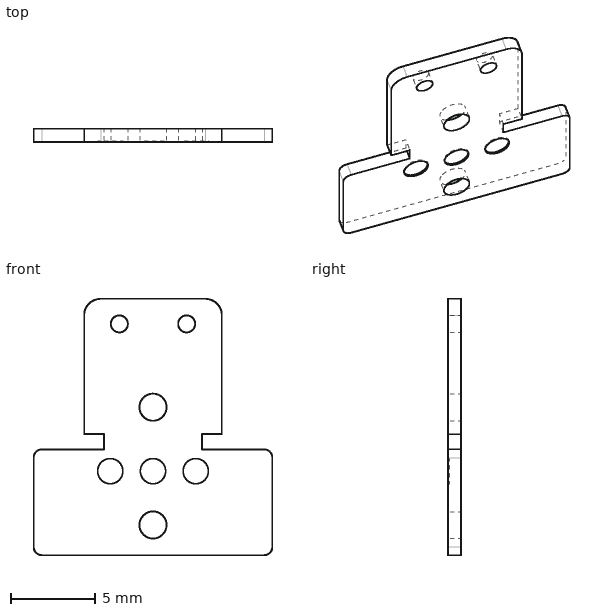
import cadquery as cq

thickness = 0.8
total_height = 15.25

base_width = 14.2
base_height = 6.3
base_corner_radius = 0.5

neck_width = 5.85
neck_height = 0.9

head_width = 8.2
head_corner_radius = 1.0
head_bottom = base_height + neck_height
head_height = total_height - head_bottom

small_hole_diameter = 1.0
small_hole_spacing = 4.0
small_hole_edge_distance = 1.5
small_hole_height = total_height - small_hole_edge_distance
large_hole_diameter = 1.6
large_hole_heights = (1.8, 8.8)

recess_diameter = 1.5
recess_depth = 0.1
recess_pitch = 2.54
recess_height = 5.0
recess_positions = [(i * recess_pitch, recess_height) for i in (-1, 0, 1)]


def slab(width, bottom, height):
    """Centred rectangular block with its front face at Y = 0."""
    return (
        cq.Workplane("XY")
        .box(width, thickness, height, centered=(True, False, False))
        .translate((0, 0, bottom))
    )


def front_cylinders(points, diameter, depth):
    """Cylinders running from the front face into the plate at (X, Z) points."""
    return cq.Workplane("XZ").pushPoints(points).circle(diameter / 2).extrude(-depth)


def make_plate():
    base = slab(base_width, 0, base_height).edges("|Y").fillet(base_corner_radius)
    neck = slab(neck_width, base_height, neck_height)
    head = slab(head_width, head_bottom, head_height)
    head = head.edges("|Y and >Z").fillet(head_corner_radius)
    return base.union(neck).union(head).clean()


def cut_through_holes(plate):
    half_spacing = small_hole_spacing / 2
    small_points = [(side * half_spacing, small_hole_height) for side in (-1, 1)]
    large_points = [(0, height) for height in large_hole_heights]
    plate = plate.cut(front_cylinders(small_points, small_hole_diameter, thickness))
    return plate.cut(front_cylinders(large_points, large_hole_diameter, thickness))


def cut_recesses(plate):
    return plate.cut(front_cylinders(recess_positions, recess_diameter, recess_depth))


result = cut_recesses(cut_through_holes(make_plate()))